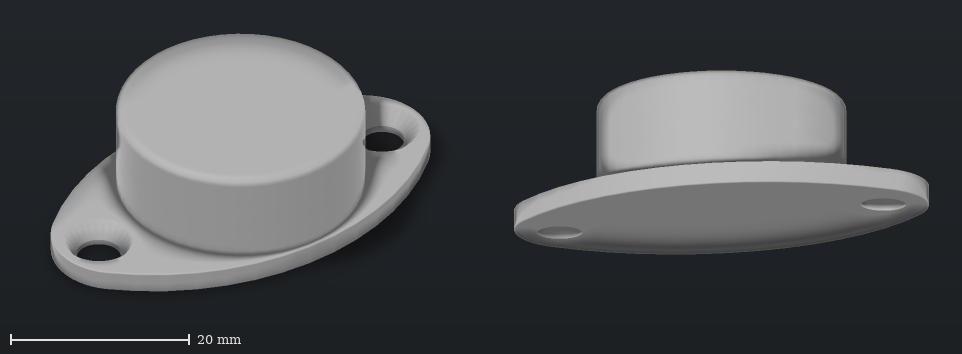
import cadquery as cq
import math

plate_length = 48.0
plate_width = 28.0
plate_thickness = 2.5
tip_radius = 7.5
plate_edge_radius = 0.2

hole_offset = 19.0
hole_diameter = 5.0
rear_sink_diameter = 9.0
front_sink_diameter = 7.95
rear_sink_depth = 1.7
front_sink_depth = 1.85

overall_height = 13.5
housing_diameter = plate_width
housing_height = overall_height - plate_thickness
housing_edge_radius = 1.0
band_height = 2.5
band_depth = 1.0
band_bottom = plate_thickness + (housing_height - band_height) / 2


def make_outline():
    """Oval outline whose side arcs run tangent into the tip arcs."""
    half_length = plate_length / 2
    half_width = plate_width / 2
    tip_center_y = half_length - tip_radius
    side_radius = (half_width**2 + tip_center_y**2 - tip_radius**2) / (2 * (half_width - tip_radius))
    tangent_angle = math.atan2(tip_center_y, side_radius - half_width)
    join_x = tip_radius * math.cos(tangent_angle)
    join_y = tip_center_y + tip_radius * math.sin(tangent_angle)
    return (
        cq.Workplane("XY")
        .moveTo(join_x, -join_y)
        .threePointArc((half_width, 0), (join_x, join_y))
        .threePointArc((0, half_length), (-join_x, join_y))
        .threePointArc((-half_width, 0), (-join_x, -join_y))
        .threePointArc((0, -half_length), (join_x, -join_y))
        .close()
    )


def make_plate():
    """Flange plate with rounded rims and two countersunk holes."""
    plate = make_outline().extrude(plate_thickness)
    plate = plate.faces("<Z or >Z").edges().fillet(plate_edge_radius)
    holes = (
        (hole_offset, rear_sink_diameter, rear_sink_depth),
        (-hole_offset, front_sink_diameter, front_sink_depth),
    )
    for hole_y, sink_diameter, sink_depth in holes:
        sink_run = (sink_diameter - hole_diameter) / 2
        sink_angle = 2 * math.degrees(math.atan2(sink_run, sink_depth))
        plate = (
            plate.faces(">Z")
            .workplane(origin=(0, hole_y, plate_thickness))
            .cskHole(hole_diameter, sink_diameter, sink_angle)
        )
    return plate


def make_band():
    """Ring that fills the groove flush with the housing wall."""
    return (
        cq.Workplane("XY")
        .workplane(offset=band_bottom)
        .circle(housing_diameter / 2)
        .circle(housing_diameter / 2 - band_depth)
        .extrude(band_height)
    )


def make_housing(band):
    """Round housing with rounded rims and a groove matching the band."""
    return (
        cq.Workplane("XY")
        .workplane(offset=plate_thickness)
        .circle(housing_diameter / 2)
        .extrude(housing_height)
        .faces("<Z or >Z")
        .edges()
        .fillet(housing_edge_radius)
        .cut(band)
    )


plate = make_plate()
band = make_band()
housing = make_housing(band)

result = cq.Compound.makeCompound([plate.val(), housing.val(), band.val()])